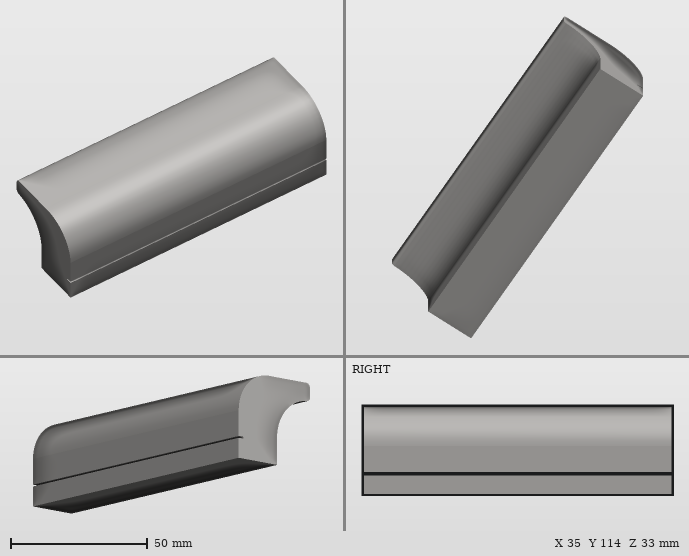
import cadquery as cq
import math

length = 114.0
width = 35.0
height = 33.0

stem_left = 16.1
upper_tip_radius = 1.7
lower_tip_radius = 1.4
tip_bottom_z = 26.1
cove_radius = 16.0
cove_bottom_z = 11.7

recess_left = 18.8
recess_wall_x = 32.6
recess_floor_z = 7.5
recess_radius = 21.5
recess_center_z = 10.6

cover_radius = 15.0
cover_gap = 0.7
cover_bottom_z = recess_floor_z + cover_gap

cover_center_x = width - cover_radius
cover_center_z = height - cover_radius
rail_top_z = cover_center_z + math.sqrt(cover_radius**2 - (recess_left - cover_center_x) ** 2)

recess_center_x = recess_wall_x - recess_radius
recess_top_z = recess_center_z + math.sqrt(recess_radius**2 - (recess_left - recess_center_x) ** 2)


def arc_point(center_x, center_z, radius, degrees):
    """Point on a circle in the cross-section plane, measured from +X towards +Z."""
    angle = math.radians(degrees)
    return (center_x + radius * math.cos(angle), center_z + radius * math.sin(angle))


def recess_arc_middle():
    """Midpoint of the curved wall shared by the rail and the cover."""
    end_angle = math.degrees(math.atan2(recess_top_z - recess_center_z, recess_left - recess_center_x))
    return arc_point(recess_center_x, recess_center_z, recess_radius, end_angle / 2)


def extrude_along_y(profile):
    """Extrude a closed XZ profile from Y = 0 to Y = length."""
    return profile.close().extrude(-length)


def make_rail():
    lower_tip_z = tip_bottom_z + lower_tip_radius
    upper_tip_z = rail_top_z - upper_tip_radius
    profile = (
        cq.Workplane("XZ")
        .moveTo(stem_left, 0)
        .lineTo(width, 0)
        .lineTo(width, recess_floor_z)
        .lineTo(recess_wall_x, recess_floor_z)
        .lineTo(recess_wall_x, recess_center_z)
        .threePointArc(recess_arc_middle(), (recess_left, recess_top_z))
        .lineTo(recess_left, rail_top_z)
        .lineTo(upper_tip_radius, rail_top_z)
        .threePointArc(
            arc_point(upper_tip_radius, upper_tip_z, upper_tip_radius, 135),
            (0, upper_tip_z),
        )
        .lineTo(0, lower_tip_z)
        .threePointArc(
            arc_point(lower_tip_radius, lower_tip_z, lower_tip_radius, 225),
            (lower_tip_radius, tip_bottom_z),
        )
        .radiusArc((stem_left, cove_bottom_z), cove_radius)
    )
    return extrude_along_y(profile)


def make_cover():
    profile = (
        cq.Workplane("XZ")
        .moveTo(recess_wall_x, cover_bottom_z)
        .lineTo(width, cover_bottom_z)
        .lineTo(width, cover_center_z)
        .threePointArc(
            arc_point(cover_center_x, cover_center_z, cover_radius, 45),
            (recess_left, rail_top_z),
        )
        .lineTo(recess_left, recess_top_z)
        .threePointArc(recess_arc_middle(), (recess_wall_x, recess_center_z))
    )
    return extrude_along_y(profile)


rail = make_rail()
cover = make_cover()
result = cq.Compound.makeCompound([rail.val(), cover.val()])